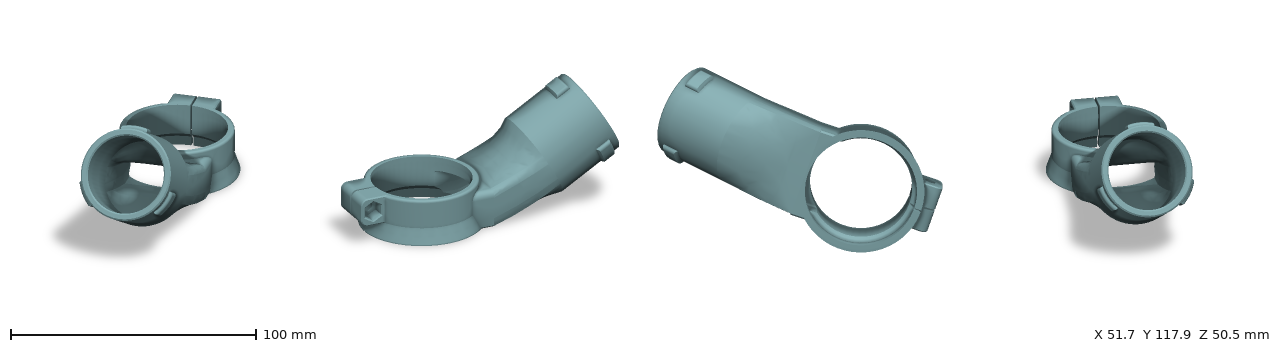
import cadquery as cq
import math

TOTAL_LENGTH = 117.9

RING_RADIUS = 23.6
RING_BORE_RADIUS = 20.9
RING_TOP = 19.1
RING_RIM_FILLET = 1.1
SKIRT_RADIUS = 25.87
SKIRT_HEIGHT = 7.0
SKIRT_LIP = 0.5
UNDERCUT_RADIUS = 22.9
UNDERCUT_HEIGHT = 4.0

LUG_END_Y = 32.0
LUG_WIDTH = 20.0
LUG_FILLET = 3.0
LUG_CHAMFER = 0.5
SLIT_WIDTH = 1.0
SCREW_HOLE_DIAMETER = 4.5
SCREW_Y = 26.5
NUT_ACROSS_FLATS = 7.3
NUT_DEPTH = 5.9
NUT_CHAMFER = 0.5

WALL = 3.0
SOCKET_BORE_DIAMETER = 32.0
SOCKET_LENGTH = 30.0
SOCKET_TILT = 30
SOCKET_CHAMFER = 0.6
SOCKET_START_Z = 19.3
INLET_Y = -23.8
INLET_HEIGHT = 16.0
INLET_FILLET = 3.0
PASSAGE_FILLET = 1.0
INLET_BOTTOM_CHAMFER = 0.7
TRANSITION_SAG = 0.7
BULGE_POWER = 1.7
SIDE_HALF_ANGLE = 24
FLANK_HALF_ANGLE = 13
LOW_EDGE_HEIGHT = 3.9

TAB_COUNT = 3
TAB_HEIGHT = 1.7
TAB_SPAN = 33
TAB_LENGTH = 6.8
TAB_END_GAP = 3.5
TAB_FILLET = 1.2

SOCKET_BORE_RADIUS = SOCKET_BORE_DIAMETER / 2
SOCKET_RADIUS = SOCKET_BORE_RADIUS + WALL
TILT_COS = math.cos(math.radians(SOCKET_TILT))
TILT_SIN = math.sin(math.radians(SOCKET_TILT))
SOCKET_REACH = SOCKET_LENGTH * TILT_COS + (SOCKET_RADIUS - SOCKET_CHAMFER) * TILT_SIN
SOCKET_START_Y = LUG_END_Y - TOTAL_LENGTH + SOCKET_REACH
DUCT_INLET = (SOCKET_RADIUS, INLET_HEIGHT / 2, INLET_FILLET)
PASSAGE_INLET = (SOCKET_BORE_RADIUS, INLET_HEIGHT / 2 - WALL, PASSAGE_FILLET)
LUG_HEIGHT = RING_TOP - SKIRT_HEIGHT
SCREW_Z = SKIRT_HEIGHT + LUG_HEIGHT / 2

socket_plane = cq.Plane(
    origin=(0, SOCKET_START_Y, SOCKET_START_Z),
    xDir=(1, 0, 0),
    normal=(0, -TILT_COS, TILT_SIN),
)


def space_beyond_inlet():
    """Space on the duct's side of the inlet plane, which the skirt must not enter."""
    return cq.Workplane("XZ", origin=(0, INLET_Y, 0)).circle(SKIRT_RADIUS).extrude(SKIRT_RADIUS)


def clamp_ring():
    """Ring with a flared skirt at its foot, cut flat where the duct meets it."""
    ring = cq.Workplane("XY").circle(RING_RADIUS).extrude(RING_TOP)
    ring = ring.faces(">Z").edges().fillet(RING_RIM_FILLET)
    skirt = (
        cq.Workplane("XZ")
        .moveTo(0, 0)
        .lineTo(SKIRT_RADIUS, 0)
        .lineTo(SKIRT_RADIUS, SKIRT_LIP)
        .lineTo(RING_RADIUS, SKIRT_HEIGHT)
        .lineTo(0, SKIRT_HEIGHT)
        .close()
        .revolve(360, (0, 0, 0), (0, 1, 0))
    )
    return ring.union(skirt.cut(space_beyond_inlet()))


def clamp_bore():
    """Bore of the ring, widened below a 45 degree step."""
    cone_top = UNDERCUT_HEIGHT + UNDERCUT_RADIUS - RING_BORE_RADIUS
    return (
        cq.Workplane("XZ")
        .moveTo(0, 0)
        .lineTo(UNDERCUT_RADIUS, 0)
        .lineTo(UNDERCUT_RADIUS, UNDERCUT_HEIGHT)
        .lineTo(RING_BORE_RADIUS, cone_top)
        .lineTo(RING_BORE_RADIUS, RING_TOP)
        .lineTo(0, RING_TOP)
        .close()
        .revolve(360, (0, 0, 0), (0, 1, 0))
    )


def clamping_lug():
    """Block with rounded end edges, later split by the slit."""
    lug = (
        cq.Workplane("XY")
        .box(LUG_WIDTH, LUG_END_Y, LUG_HEIGHT, centered=(True, False, False))
        .translate((0, 0, SKIRT_HEIGHT))
    )
    lug = lug.faces(">Y").edges("|X").fillet(LUG_FILLET)
    return lug.faces("<X or >X").edges().chamfer(LUG_CHAMFER)


def inlet_block():
    """Block that carries the duct, rounded along its top edges."""
    block = (
        cq.Workplane("XY")
        .box(2 * SOCKET_RADIUS, -INLET_Y, INLET_HEIGHT, centered=(True, False, False))
        .translate((0, INLET_Y, 0))
    )
    block = block.faces(">Z").edges("|Y").fillet(INLET_FILLET)
    return block.faces("<Z").edges("|Y").chamfer(INLET_BOTTOM_CHAMFER)


def inlet_port():
    """Passage from the ring bore through the inlet block."""
    mouth = transition_section(inlet_outline(*PASSAGE_INLET), 0)
    return cq.Workplane(cq.Solid.extrudeLinear(mouth, [], cq.Vector(0, -INLET_Y, 0)))


def clamp_slit():
    """Slit that splits the lug and the ring."""
    return cq.Workplane("XY").box(SLIT_WIDTH, LUG_END_Y, RING_TOP, centered=(True, False, False))


def screw_hole():
    """Hole along X through both halves of the lug."""
    return (
        cq.Workplane("YZ")
        .center(SCREW_Y, SCREW_Z)
        .circle(SCREW_HOLE_DIAMETER / 2)
        .extrude(LUG_WIDTH / 2, both=True)
    )


def nut_pocket():
    """Hexagonal pocket in the -X face of the lug, with a bevelled mouth."""
    corner_scale = 1 / math.cos(math.radians(30))
    pocket_corners = NUT_ACROSS_FLATS * corner_scale
    mouth_corners = (NUT_ACROSS_FLATS + 2 * NUT_CHAMFER) * corner_scale
    mouth = cq.Workplane("YZ", origin=(-LUG_WIDTH / 2, SCREW_Y, SCREW_Z))
    mouth = mouth.transformed(rotate=(0, 0, 90))
    bevel = (
        mouth.polygon(6, mouth_corners)
        .workplane(offset=NUT_CHAMFER)
        .polygon(6, pocket_corners)
        .loft(ruled=True)
    )
    return mouth.polygon(6, pocket_corners).extrude(NUT_DEPTH).union(bevel)


def make_clamp():
    """Clamp body: split ring, lug and inlet block."""
    body = clamp_ring().union(clamping_lug()).union(inlet_block())
    body = body.cut(clamp_bore()).cut(inlet_port())
    return body.cut(clamp_slit()).cut(screw_hole()).cut(nut_pocket())


def circle_point(radius, angle):
    """Point on a circle around the origin, at an angle in degrees."""
    return (radius * math.cos(math.radians(angle)), radius * math.sin(math.radians(angle)))


def blend(start, end, share):
    """Point the given share of the way from start to end."""
    return tuple(a + (b - a) * share for a, b in zip(start, end))


def inlet_outline(half_width, half_height, fillet):
    """Right half of the inlet rectangle, bottom to top: edge ends and, between them, edge middles."""
    slant = fillet * (1 - math.sqrt(0.5))
    low_side = LOW_EDGE_HEIGHT - half_height
    high_side = half_height - fillet
    return [
        (0, -half_height),
        (half_width - INLET_BOTTOM_CHAMFER, -half_height),
        (half_width - INLET_BOTTOM_CHAMFER / 4, (low_side - half_height) / 2),
        (half_width, low_side),
        (half_width, (low_side + high_side) / 2),
        (half_width, high_side),
        (half_width - slant, half_height - slant),
        (half_width - fillet, half_height),
        (0, half_height),
    ]


def socket_outline(radius):
    """Right half of the socket circle, with its points in the same order as the inlet outline."""
    middle_angle = (SIDE_HALF_ANGLE + FLANK_HALF_ANGLE) / 2
    upper = [FLANK_HALF_ANGLE, middle_angle, SIDE_HALF_ANGLE, 90]
    lower = [-angle for angle in reversed(upper)]
    return [circle_point(radius, angle) for angle in lower + [0] + upper]


def transition_section(right_half, travel):
    """Closed wire at the given share of the way from the inlet to the socket."""
    tilt = math.radians(SOCKET_TILT * travel)
    y, z = blend((INLET_Y, INLET_HEIGHT / 2), (SOCKET_START_Y, SOCKET_START_Z), travel)
    sag = 4 * TRANSITION_SAG * travel * (1 - travel)
    plane = cq.Plane(
        origin=(0, y, z - sag), xDir=(1, 0, 0), normal=(0, -math.cos(tilt), math.sin(tilt))
    )
    left_half = [(-px, pz) for px, pz in reversed(right_half)]
    loop = right_half[1:] + left_half[1:] + right_half[1:2]
    outline = cq.Workplane(plane).moveTo(*loop[0])
    for start, middle, end in zip(loop[0:-2:2], loop[1:-1:2], loop[2::2]):
        is_straight = start[0] == end[0] or start[1] == end[1]
        if travel == 0 and is_straight:
            outline = outline.lineTo(*end)
        else:
            outline = outline.threePointArc(middle, end)
    return outline.close().val()


def transition(inlet, radius):
    """Solid that changes from a rounded rectangle at the inlet to a circle at the socket."""
    start = inlet_outline(*inlet)
    end = socket_outline(radius)
    sections = []
    for travel in (0, 0.5, 1):
        right_half = [blend(a, b, travel**BULGE_POWER) for a, b in zip(start, end)]
        sections.append(transition_section(right_half, travel))
    return cq.Workplane(cq.Solid.makeLoft(sections))


def on_socket(shape):
    """Moves a shape built around the Z axis onto the socket axis."""
    return cq.Workplane(shape.val().moved(cq.Location(socket_plane)))


def socket():
    """Outside of the hose socket, chamfered at its mouth."""
    tube = cq.Workplane("XY").circle(SOCKET_RADIUS).extrude(SOCKET_LENGTH)
    return on_socket(tube.faces(">Z").edges().chamfer(SOCKET_CHAMFER))


def socket_bore():
    """Bore of the hose socket, with a chamfered mouth."""
    mouth_radius = SOCKET_BORE_RADIUS + SOCKET_CHAMFER
    bore = (
        cq.Workplane("XZ")
        .lineTo(SOCKET_BORE_RADIUS, 0)
        .lineTo(SOCKET_BORE_RADIUS, SOCKET_LENGTH - SOCKET_CHAMFER)
        .lineTo(mouth_radius, SOCKET_LENGTH)
        .lineTo(0, SOCKET_LENGTH)
        .close()
        .revolve(360, (0, 0, 0), (0, 1, 0))
    )
    return on_socket(bore)


def bayonet_tab(angle):
    """Raised tab with a sloped back, centred at the given angle around the socket axis."""
    front = SOCKET_LENGTH - TAB_END_GAP
    back = front - TAB_LENGTH
    top_radius = SOCKET_RADIUS + TAB_HEIGHT
    root_radius = SOCKET_RADIUS - WALL / 2
    back_slope = TILT_SIN / TILT_COS
    tab = (
        cq.Workplane("XZ")
        .moveTo(root_radius, back - (SOCKET_RADIUS - root_radius) * back_slope)
        .lineTo(top_radius, back + TAB_HEIGHT * back_slope)
        .lineTo(top_radius, front)
        .lineTo(root_radius, front)
        .close()
        .revolve(TAB_SPAN, (0, 0, 0), (0, 1, 0))
        .rotate((0, 0, 0), (0, 0, 1), -TAB_SPAN / 2)
    )
    outer_face = cq.selectors.NearestToPointSelector((top_radius, 0, (front + back) / 2))
    tab = tab.faces(outer_face).edges("not <Z").fillet(TAB_FILLET)
    return on_socket(tab.rotate((0, 0, 0), (0, 0, 1), angle))


def make_duct():
    """Duct body: transition, hose socket and bayonet tabs, hollow throughout."""
    body = transition(DUCT_INLET, SOCKET_RADIUS).union(socket())
    for i in range(TAB_COUNT):
        body = body.union(bayonet_tab(90 + i * 360 / TAB_COUNT))
    passage = transition(PASSAGE_INLET, SOCKET_BORE_RADIUS)
    return body.cut(passage).cut(socket_bore())


clamp = make_clamp()
duct = make_duct()

result = cq.Compound.makeCompound([*clamp.solids().vals(), *duct.solids().vals()])